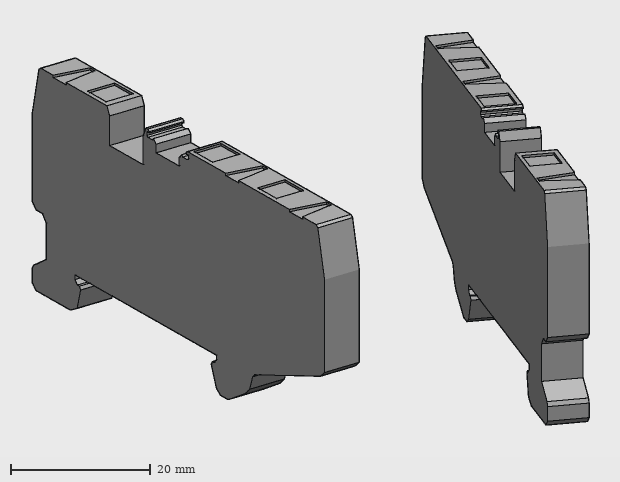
import cadquery as cq

length = 71.7
thickness = 6.2
height = 35.4

shoulder_z = 27.45
shoulder_inset = 1.65
top_inset = 2.1
top_chamfer_z = 35.05

left_bottom_z = 12.7
left_bottom_chamfer = 1.0
neck_x = 3.45
neck_chamfer_x = 0.9
neck_chamfer_z = 1.15
neck_bottom_z = 5.8

right_corner_z = 12.9
underside_right_x = 70.6
underside_right_z = 11.9
underside_left_x = 54.55
underside_left_z = 6.3

rail_left_x = 10.55
rail_right_x = 45.2
base_z = 5.95
rail_groove_z = 5.2
claw_top_z = 4.6
claw_tip_z = 4.1
claw_tip_chamfer = 0.3
claw_root = 0.6

left_claw_x = 11.9
left_foot_flank_x = 11.05
left_foot_flank_z = 0.85
left_foot_bottom_x = 9.4
left_foot_chamfer = 0.9
left_foot_outer_z = 3.15
left_foot_slope_x = 0.35
left_foot_slope_z = 3.8

right_claw_x = 43.9
right_foot_flank_x = 45.2
right_foot_flank_z = 0.7
right_foot_bottom_start_x = 46.2
right_foot_bottom_end_x = 48.05
right_foot_slope_x = 52.3
right_foot_slope_z = 2.5
right_foot_outer_x = 53.35
right_foot_outer_z = 3.6
right_foot_top_x = 54.05
right_foot_top_z = 5.8

notch_left_x = 19.0
notch_right_x = 27.25
notch_floor_z = 29.4
notch_lead_in = 0.65
notch_lead_in_height = 1.35

seat_left_x = 30.4
seat_right_x = 36.1
seat_floor_z = 32.4
ridge_base_z = 33.8
ridge_offset = 0.65
ridge_z = 34.4
ledge_offset = 0.85
ledge_z = 34.1
groove_offset = 2.2
groove_chamfer = 0.2
lip_tip_offset = 1.65
lip_top_offset = 2.0
lip_bottom_z = 34.9
lip_tip_z = 35.1

pocket_depth = 0.35
window_length = 4.6
window_width = 4.8
window_center_y = 3.15
wedge_narrow = 1.2
wedge_wide = 3.15
wedge_end_y = 5.8
wedge_to_window = 8.1
left_wedge_x = 6.75
middle_wedge_x = 49.05
right_wedge_x = 64.7


def seat_side(wall_x, outward):
    """One side of the marker seat, from its lip down to the floor; outward is -1 (left) or 1 (right)."""
    points = [
        (lip_top_offset, height),
        (lip_tip_offset, lip_tip_z),
        (lip_tip_offset, lip_bottom_z),
        (groove_offset, lip_bottom_z),
        (groove_offset, ledge_z + groove_chamfer),
        (groove_offset - groove_chamfer, ledge_z),
        (ledge_offset, ledge_z),
        (ridge_offset, ridge_z),
        (0, ridge_base_z),
        (0, seat_floor_z),
    ]
    return [(wall_x + outward * offset, z) for offset, z in points]


def rail_claw(rail_x, claw_x, inward):
    """Hook under the rail seat, from the base down to the claw tip; inward points to the other foot."""
    return [
        (rail_x, base_z),
        (rail_x, rail_groove_z),
        (rail_x + inward * claw_root, claw_top_z),
        (claw_x - inward * claw_tip_chamfer, claw_top_z),
        (claw_x, claw_tip_z),
    ]


def housing():
    """Flat housing, extruded from a closed outline that runs clockwise from the top left corner."""
    top_edge = [
        (shoulder_inset, top_chamfer_z),
        (top_inset, height),
        (notch_left_x - notch_lead_in, height),
        (notch_left_x, height - notch_lead_in_height),
        (notch_left_x, notch_floor_z),
        (notch_right_x, notch_floor_z),
        (notch_right_x, height - notch_lead_in_height),
        (notch_right_x + notch_lead_in, height),
        *seat_side(seat_left_x, -1),
        *reversed(seat_side(seat_right_x, 1)),
        (length - top_inset, height),
        (length - shoulder_inset, top_chamfer_z),
    ]
    right_end = [
        (length, shoulder_z),
        (length, right_corner_z),
        (underside_right_x, underside_right_z),
        (underside_left_x, underside_left_z),
    ]
    right_foot = [
        (right_foot_top_x, right_foot_top_z),
        (right_foot_outer_x, right_foot_outer_z),
        (right_foot_slope_x, right_foot_slope_z),
        (right_foot_bottom_end_x, 0),
        (right_foot_bottom_start_x, 0),
        (right_foot_flank_x, right_foot_flank_z),
        *reversed(rail_claw(rail_right_x, right_claw_x, -1)),
    ]
    left_foot = [
        *rail_claw(rail_left_x, left_claw_x, 1),
        (left_foot_flank_x, left_foot_flank_z),
        (left_foot_bottom_x, 0),
        (left_foot_chamfer, 0),
        (0, left_foot_chamfer),
        (0, left_foot_outer_z),
        (left_foot_slope_x, left_foot_slope_z),
    ]
    left_end = [
        (neck_x, neck_bottom_z),
        (neck_x, left_bottom_z - neck_chamfer_z),
        (neck_x - neck_chamfer_x, left_bottom_z),
        (left_bottom_chamfer, left_bottom_z),
        (0, left_bottom_z + left_bottom_chamfer),
        (0, shoulder_z),
    ]
    outline = top_edge + right_end + right_foot + left_foot + left_end
    return cq.Workplane("XZ").polyline(outline).close().extrude(-thickness)


def pocket_floor():
    """Plane at the bottom of the shallow pockets."""
    return cq.Workplane("XY", origin=(0, 0, height - pocket_depth))


def wedge_pocket(x):
    """Pocket centred on x that is open at the Y = 0 face and narrows toward the far face."""
    corners = [
        (x - wedge_wide / 2, 0),
        (x + wedge_wide / 2, 0),
        (x + wedge_narrow / 2, wedge_end_y),
        (x - wedge_narrow / 2, wedge_end_y),
    ]
    return pocket_floor().polyline(corners).close().extrude(pocket_depth)


def window_pocket(x):
    """Closed rectangular pocket centred on x."""
    outline = pocket_floor().center(x, window_center_y).rect(window_length, window_width)
    return outline.extrude(pocket_depth)


result = housing()

for wedge_x, window_side in ((left_wedge_x, 1), (middle_wedge_x, -1), (right_wedge_x, -1)):
    window_x = wedge_x + window_side * wedge_to_window
    result = result.cut(wedge_pocket(wedge_x)).cut(window_pocket(window_x))